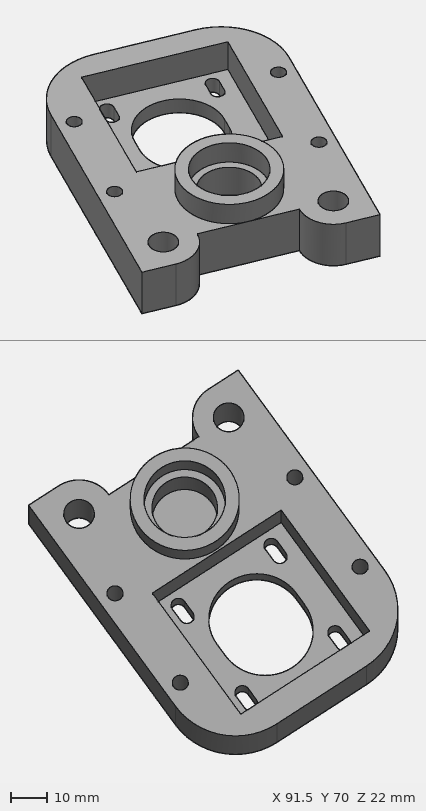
import cadquery as cq

length = 91.5
width = 70.0
plate_height = 15.0
floor_height = 5.0
corner_radius = 20.0

ear_radius = 10.0
ear_x = length - ear_radius
ear_y = 25.0
ear_hole_diameter = 8.4

total_height = 22.0
boss_diameter = 30.0
boss_x = ear_x - boss_diameter / 2
seat_diameter = 22.4
seat_depth = 6.95
bore_diameter = 18.0

pocket_size = 43.0
pocket_x = 29.5

travel = 4.0
opening_diameter = 26.4
opening_length = opening_diameter + travel
slot_width = 4.0
slot_length = slot_width + travel
slot_spacing = 31.0

side_hole_diameter = 4.4
side_hole_x = (25.0, 56.7)
side_hole_y = 30.0


def make_plate():
    half_width = width / 2
    ear_inner_y = ear_y - ear_radius
    outline = (
        cq.Workplane("XY")
        .moveTo(0, -half_width)
        .lineTo(length, -half_width)
        .lineTo(length, -ear_y)
        .radiusArc((ear_x, -ear_inner_y), -ear_radius)
        .lineTo(ear_x, ear_inner_y)
        .radiusArc((length, ear_y), -ear_radius)
        .lineTo(length, half_width)
        .lineTo(0, half_width)
        .close()
    )
    return outline.extrude(plate_height).edges("|Z and <X").fillet(corner_radius)


def add_boss(body):
    boss = cq.Workplane("XY").center(boss_x, 0).circle(boss_diameter / 2).extrude(total_height)
    top = cq.Workplane("XY", origin=(boss_x, 0, total_height))
    seat = top.circle(seat_diameter / 2).extrude(-seat_depth)
    bore = top.circle(bore_diameter / 2).extrude(floor_height - total_height)
    return body.union(boss).cut(seat).cut(bore)


def cut_pocket(body):
    pocket = (
        cq.Workplane("XY", origin=(pocket_x, 0, floor_height))
        .rect(pocket_size, pocket_size)
        .extrude(plate_height - floor_height)
    )
    floor = cq.Workplane("XY", origin=(pocket_x, 0, 0))
    opening = floor.slot2D(opening_length, opening_diameter).extrude(plate_height)
    slots = (
        floor.rect(slot_spacing, slot_spacing, forConstruction=True)
        .vertices()
        .slot2D(slot_length, slot_width)
        .extrude(plate_height)
    )
    return body.cut(pocket).cut(opening).cut(slots)


def through_holes(centers, diameter):
    return cq.Workplane("XY").pushPoints(centers).circle(diameter / 2).extrude(plate_height)


ear_holes = [(ear_x, side * ear_y) for side in (-1, 1)]
side_holes = [(x, side * side_hole_y) for x in side_hole_x for side in (-1, 1)]

result = cut_pocket(add_boss(make_plate()))
result = result.cut(through_holes(ear_holes, ear_hole_diameter))
result = result.cut(through_holes(side_holes, side_hole_diameter))